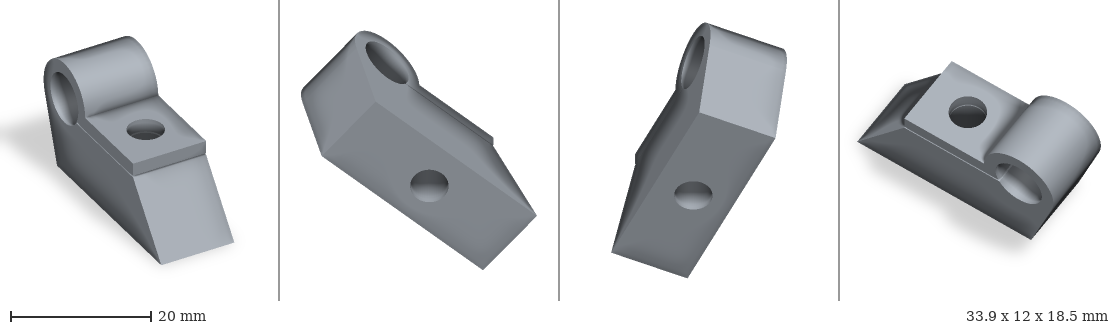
import cadquery as cq
import math

length = 33.87
width = 12.0
height = 18.53

barrel_radius = width / 2
bore_radius = 4.0
barrel_x = barrel_radius
barrel_z = height - barrel_radius

base_left = 3.85
base_top = 10.33
slit_gap = 0.27
tab_bottom = base_top + slit_gap
tab_top = 12.67
tab_end = 25.75

screw_diameter = 5.5
screw_x = (2 * barrel_radius + tab_end) / 2


def prism(sketch):
    """Extrude an XZ outline over the full width, centred on Y = 0."""
    return sketch.extrude(width / 2, both=True)


def tangent_point():
    """Point where the sloped back face touches the barrel."""
    run = barrel_x - base_left
    distance = math.hypot(run, barrel_z)
    slope = math.atan2(barrel_z, run) + math.asin(barrel_radius / distance)
    reach = math.sqrt(distance**2 - barrel_radius**2)
    return base_left + reach * math.cos(slope), reach * math.sin(slope)


def make_body():
    """Base, barrel and tab as one outline."""
    tab_rise = tab_top - barrel_z
    tab_start = barrel_x + math.sqrt(barrel_radius**2 - tab_rise**2)
    outline = (
        cq.Workplane("XZ")
        .moveTo(base_left, 0)
        .lineTo(length, 0)
        .lineTo(tab_end, base_top)
        .lineTo(tab_end, tab_top)
        .lineTo(tab_start, tab_top)
        .threePointArc((barrel_x, height), tangent_point())
        .close()
    )
    return prism(outline)


def make_bore():
    return prism(cq.Workplane("XZ").center(barrel_x, barrel_z).circle(bore_radius))


def make_slit():
    """Thin gap from the bore out through the end of the tab."""
    slit_length = tab_end - barrel_x
    corner = cq.Workplane("XZ").moveTo(barrel_x, base_top)
    return prism(corner.rect(slit_length, slit_gap, centered=False))


def make_screw_hole():
    """Vertical hole through the tab and the base."""
    return cq.Workplane("XY").center(screw_x, 0).circle(screw_diameter / 2).extrude(tab_top)


result = make_body().cut(make_bore()).cut(make_slit()).cut(make_screw_hole())